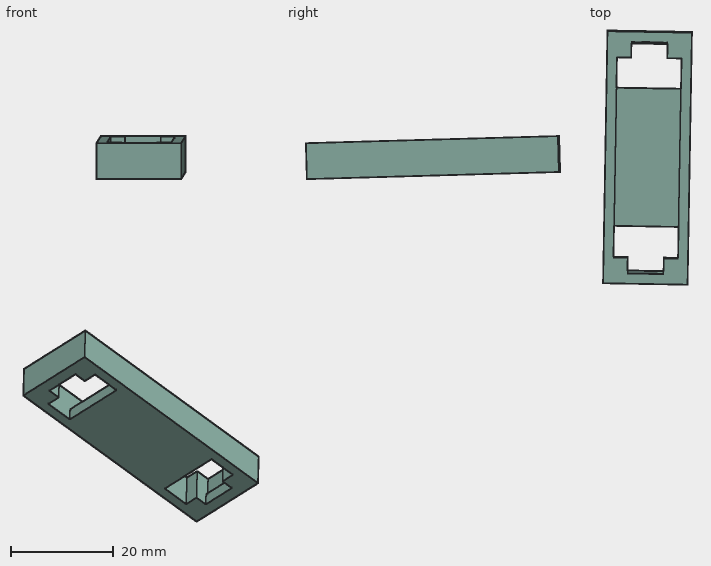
import cadquery as cq

length = 49.0
width = 16.45
height = 7.0
side_wall = 2.0
corner_depth = 5.05
end_wall = 2.0
notch_width = 6.95

ledge_width = 0.45
ledge_height = 2.65
plate_inset = 11.1
plate_thickness = 2.65

pitch = 1.62
yaw = -1.0


def block(size_x, size_y, size_z, base_z=0):
    """A box centred in X and Y, standing on base_z."""
    return (
        cq.Workplane("XY", origin=(0, 0, base_z))
        .rect(size_x, size_y)
        .extrude(size_z)
    )


def make_frame():
    """Rim with a stepped through opening that is longer above the ledges."""
    inner_width = width - 2 * side_wall
    upper_length = length - 2 * end_wall
    lower_length = upper_length - 2 * ledge_width
    opening = block(inner_width, length - 2 * corner_depth, height)
    lower_notches = block(notch_width, lower_length, height)
    upper_notches = block(notch_width, upper_length, height - ledge_height, ledge_height)
    return block(width, length, height).cut(opening).cut(lower_notches).cut(upper_notches)


def make_plate():
    """Floor plate whose sides run into the middle of the side walls."""
    return block(width - side_wall, length - 2 * plate_inset, plate_thickness)


part = make_frame().union(make_plate())
result = part.rotate((0, 0, 0), (1, 0, 0), pitch).rotate((0, 0, 0), (0, 0, 1), yaw)